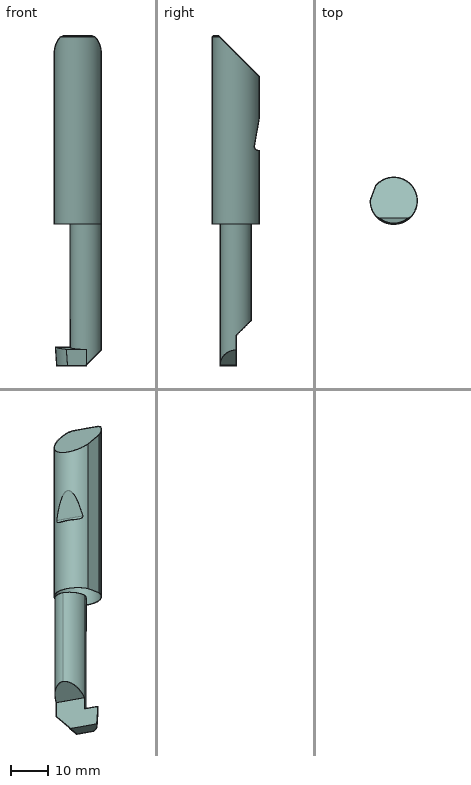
import cadquery as cq
import math

total_length = 88.9

shank_diameter = 12.7
shank_radius = shank_diameter / 2
shank_bottom = 38.1
top_edge_chamfer = 0.4
bevel_start_y = -4.6
flat_angle = 159.5
flat_half_angle = 19.3
flat_distance = shank_radius * math.cos(math.radians(flat_half_angle))

notch_top = 66.7
notch_deepest = 59.1
notch_bottom = 58.05
notch_depth = 1.3

neck_diameter = 8.45
neck_radius = neck_diameter / 2
neck_x = shank_radius - neck_radius
rake_y = 0.2
back_radius = 4.9
back_y = neck_radius - back_radius
corner_x = neck_x - math.sqrt(neck_radius**2 - rake_y**2)
back_x = corner_x + math.sqrt(back_radius**2 - (rake_y - back_y)**2)
relief_floor = 8.3
tip_bevel_height = 4.3

head_height = 5.1
head_front_height = 4.45
head_right_x = 2.3
tip_x = -6.05
heel_x = -3.1
flank_bulge = 0.45
flank_taper = 0.4


def make_shank():
    bar = (
        cq.Workplane("XY", origin=(0, 0, shank_bottom))
        .circle(shank_radius)
        .extrude(total_length - shank_bottom)
        .faces(">Z")
        .chamfer(top_edge_chamfer)
    )
    return bar.cut(side_flat()).cut(top_bevel()).cut(clamping_notch())


def side_flat():
    return (
        cq.Workplane("XY")
        .box(shank_diameter, shank_diameter, total_length, centered=(False, True, False))
        .translate((flat_distance, 0, 0))
        .rotate((0, 0, 0), (0, 0, 1), flat_angle)
    )


def extrude_side_profile(points):
    """Extrude a closed (Y, Z) outline across the full shank width."""
    return cq.Workplane("YZ").polyline(points).close().extrude(shank_diameter, both=True)


def top_bevel():
    run = shank_diameter
    return extrude_side_profile([
        (bevel_start_y, total_length),
        (bevel_start_y + run, total_length),
        (bevel_start_y + run, total_length - run),
    ])


def clamping_notch():
    floor_y = shank_radius - notch_depth
    corner_radius = notch_deepest - notch_bottom
    corner_y = floor_y + corner_radius
    arc_middle = (
        corner_y - corner_radius * math.cos(math.pi / 4),
        notch_deepest - corner_radius * math.sin(math.pi / 4),
    )
    return (
        cq.Workplane("YZ")
        .moveTo(shank_radius, notch_top)
        .lineTo(floor_y, notch_deepest)
        .threePointArc(arc_middle, (corner_y, notch_bottom))
        .lineTo(shank_diameter, notch_bottom)
        .lineTo(shank_diameter, notch_top)
        .close()
        .extrude(shank_diameter, both=True)
    )


def make_neck():
    bar = cq.Workplane("XY").center(neck_x, 0).circle(neck_radius).extrude(shank_bottom)
    back_envelope = cq.Workplane("XY").center(back_x, back_y).circle(back_radius).extrude(shank_bottom)
    return bar.intersect(back_envelope).cut(neck_relief()).cut(tip_bevel())


def neck_relief():
    width = shank_radius
    return extrude_side_profile([
        (rake_y, 0),
        (rake_y, relief_floor),
        (rake_y + width, relief_floor + width),
        (rake_y + width, 0),
    ])


def tip_bevel():
    corner_z = tip_bevel_height - (shank_radius - head_right_x)
    return (
        cq.Workplane("XZ")
        .polyline([
            (shank_radius, tip_bevel_height),
            (head_right_x, corner_z),
            (head_right_x, 0),
            (tip_x, 0),
            (tip_x, -neck_radius),
            (shank_radius, -neck_radius),
        ])
        .close()
        .extrude(shank_diameter, both=True)
    )


def head_outline(height, inset):
    """Closed wire of the head in plan, with its flank moved inward by the inset."""
    start_x = tip_x + inset
    end_x = heel_x + inset
    depth = rake_y + neck_radius
    chord = math.hypot(end_x - start_x, depth)
    arc_middle = (
        (start_x + end_x) / 2 - flank_bulge * depth / chord,
        (rake_y - neck_radius) / 2 - flank_bulge * (end_x - start_x) / chord,
    )
    return (
        cq.Workplane("XY", origin=(0, 0, height))
        .moveTo(head_right_x, rake_y)
        .lineTo(start_x, rake_y)
        .threePointArc(arc_middle, (end_x, -neck_radius))
        .lineTo(head_right_x, -neck_radius)
        .close()
        .wires()
        .val()
    )


def make_head():
    block = cq.Solid.makeLoft([head_outline(0, flank_taper), head_outline(head_height, 0)], True)
    sloped_top = extrude_side_profile([
        (rake_y, head_height),
        (-neck_radius, head_front_height),
        (-neck_radius, head_height),
    ])
    return cq.Workplane(block).cut(sloped_top)


result = make_shank().union(make_neck()).union(make_head())